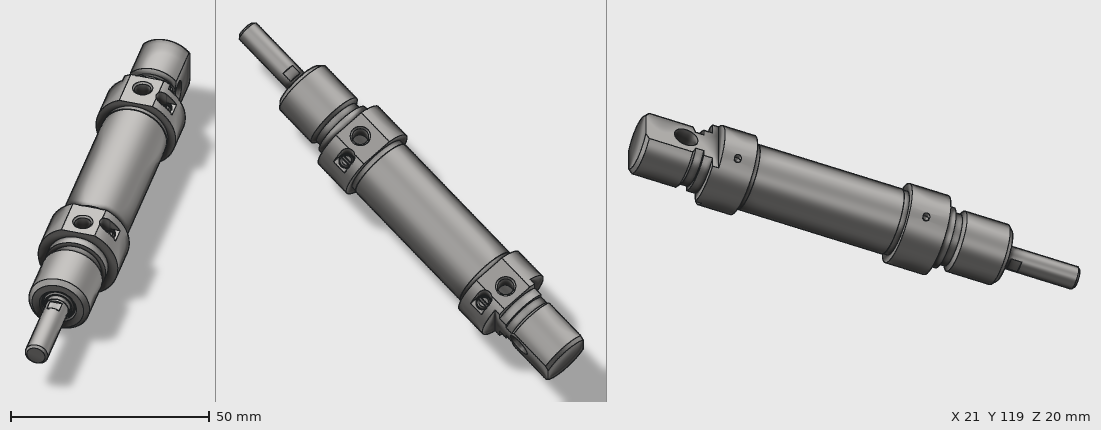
import cadquery as cq
import math


overall_length = 119.0
nose_front_y = 19.9
barrel_front_y = 48.5
barrel_rear_y = 90.4

cap_diameter = 21.0
cap_flat_height = 9.5
cap_block_length = 10.5

spigot_diameter = 16.0
relief_diameter = 13.7
relief_length = 2.1
relief_flank = 0.8
spigot_shoulder = 2.4
nose_chamfer = 1.2

lug_width = 12.0
lug_flat_front_y = 99.2
lug_chamfer = 1.0
pin_hole_diameter = 6.3
pin_hole_y = 108.0

port_diameter = 4.2
port_chamfer = 0.5
port_core_diameter = 8.3
front_port_y = 42.5
rear_port_y = 96.6

screw_x = 6.1
front_screw_y = 44.0
rear_screw_y = 95.1
screw_diameter = 3.5
screw_top_diameter = 2.5
screw_length = 3.6
screw_slot_width = 0.7
screw_slot_depth = 0.7
pocket_floor_z = 5.7
pocket_width = 4.0
pocket_sink_depth = 0.6

dimple_diameter = 1.8
dimple_z = -5.8
dimple_depth = 0.6

rod_diameter = 6.2
rod_end_diameter = 6.0
rod_end_length = 19.0
rod_chamfer = 0.6
rod_flats_width = 5.0
rod_flats_start_y = 15.5
rod_flats_length = 2.9
seat_mouth_diameter = 9.8
seat_diameter = 8.8
seat_depth = 1.2
wiper_diameter = 8.0
wiper_tip_diameter = 7.1
wiper_bore_diameter = 6.5
wiper_setback = 0.4

barrel_diameter = 17.3
barrel_neck_diameter = 16.9
barrel_neck_length = 1.4

cap_radius = cap_diameter / 2
spigot_radius = spigot_diameter / 2
relief_radius = relief_diameter / 2
front_block_y = barrel_front_y - cap_block_length
rear_block_y = barrel_rear_y + cap_block_length


def turned(profile):
    """Solid of revolution about the Y axis from (radius, y) points."""
    return cq.Workplane("XY").polyline(profile).close().revolve(360, (0, 0, 0), (0, 1, 0))


def cylinder_y(diameter, start_y, end_y):
    start_plane = cq.Plane((0, start_y, 0), (1, 0, 0), (0, 1, 0))
    return cq.Workplane(start_plane).circle(diameter / 2).extrude(end_y - start_y)


def box_between(low, high):
    size = [b - a for a, b in zip(low, high)]
    return cq.Workplane("XY").box(*size, centered=False).translate(low)


def cap_spigot(block_y, end_y, end_chamfer):
    """Turned spigot with a relief groove, from the cap block at block_y out to end_y."""
    outward = math.copysign(1, end_y - block_y)
    relief_start_y = block_y + outward * spigot_shoulder
    relief_end_y = relief_start_y + outward * relief_length
    return turned([
        (0, block_y),
        (spigot_radius, block_y),
        (spigot_radius, relief_start_y),
        (relief_radius, relief_start_y),
        (relief_radius, relief_end_y),
        (spigot_radius, relief_end_y + outward * relief_flank),
        (spigot_radius, end_y - outward * end_chamfer),
        (spigot_radius - end_chamfer, end_y),
        (0, end_y),
    ])


def cap_block(start_y, end_y):
    """Round cap block with a flat port face on top."""
    block = cylinder_y(cap_diameter, start_y, end_y)
    above_flat = box_between((-cap_radius, start_y, cap_flat_height), (cap_radius, end_y, cap_radius))
    return block.cut(above_flat)


def port_cutter(y):
    """Port with a chamfered mouth, ending on the round core around the axis."""
    radius = port_diameter / 2
    bore = cq.Workplane("XY").center(0, y).circle(radius).extrude(cap_flat_height)
    mouth = cq.Solid.makeCone(
        radius, radius + port_chamfer, port_chamfer, pnt=cq.Vector(0, y, cap_flat_height - port_chamfer)
    )
    core = cylinder_y(port_core_diameter, y - port_diameter, y + port_diameter)
    return bore.union(cq.Workplane(mouth)).cut(core)


def screw_pocket_cutter(y):
    """Round-ended pocket open towards +X, with the counterbored blind screw hole in its floor."""
    half_width = pocket_width / 2
    floor = cq.Workplane("XY").workplane(offset=pocket_floor_z)
    round_end = floor.center(screw_x, y).circle(half_width).extrude(cap_radius - pocket_floor_z)
    open_side = box_between(
        (screw_x, y - half_width, pocket_floor_z), (cap_radius, y + half_width, cap_radius)
    )
    sink = floor.center(screw_x, y).circle(half_width).extrude(-pocket_sink_depth)
    hole = floor.center(screw_x, y).circle(screw_diameter / 2).extrude(-screw_length)
    return round_end.union(open_side).union(sink).union(hole)


def dimple_cutter(y):
    """Blind dimple with a conical tip, drilled along +X into the -X side."""
    radius = dimple_diameter / 2
    surface_x = -math.sqrt(cap_radius**2 - dimple_z**2)
    tip_x = surface_x + dimple_depth
    along_x = cq.Vector(1, 0, 0)
    drill = cq.Solid.makeCylinder(
        radius, tip_x + cap_radius, pnt=cq.Vector(-cap_radius, y, dimple_z), dir=along_x
    )
    tip = cq.Solid.makeCone(radius, 0, radius, pnt=cq.Vector(tip_x, y, dimple_z), dir=along_x)
    return cq.Workplane(drill).union(cq.Workplane(tip))


def cut_cap_details(cap, port_y, screw_y):
    return cap.cut(port_cutter(port_y)).cut(screw_pocket_cutter(screw_y)).cut(dimple_cutter(screw_y))


def make_bearing_cap():
    cap = cap_block(front_block_y, barrel_front_y)
    cap = cap.union(cap_spigot(front_block_y, nose_front_y, nose_chamfer))
    cap = cut_cap_details(cap, front_port_y, front_screw_y)

    seat_floor_y = nose_front_y + seat_depth
    mouth_chamfer = (seat_mouth_diameter - seat_diameter) / 2
    seat = turned([
        (0, nose_front_y),
        (seat_mouth_diameter / 2, nose_front_y),
        (seat_diameter / 2, nose_front_y + mouth_chamfer),
        (seat_diameter / 2, seat_floor_y),
        (0, seat_floor_y),
    ])
    wiper_tip_y = nose_front_y + wiper_setback
    wiper_bevel = (wiper_diameter - wiper_tip_diameter) / 2
    wiper = turned([
        (wiper_bore_diameter / 2, wiper_tip_y),
        (wiper_tip_diameter / 2, wiper_tip_y),
        (wiper_diameter / 2, wiper_tip_y + wiper_bevel),
        (wiper_diameter / 2, seat_floor_y),
        (wiper_bore_diameter / 2, seat_floor_y),
    ])
    rod_bore = cylinder_y(rod_diameter, nose_front_y, barrel_front_y)
    return cap.cut(seat).union(wiper).cut(rod_bore)


def make_end_cap():
    cap = cap_block(barrel_rear_y, rear_block_y)
    cap = cap.union(cap_spigot(rear_block_y, overall_length, lug_chamfer))
    for side in (-1, 1):
        inner_x, outer_x = sorted((side * lug_width / 2, side * cap_radius))
        cap = cap.cut(box_between(
            (inner_x, lug_flat_front_y, -cap_radius), (outer_x, overall_length, cap_radius)
        ))
    pin_hole = (
        cq.Workplane("YZ").center(pin_hole_y, 0).circle(pin_hole_diameter / 2).extrude(lug_width, both=True)
    )
    return cut_cap_details(cap.cut(pin_hole), rear_port_y, rear_screw_y)


def make_barrel():
    """Barrel with a slightly reduced neck at each end."""
    barrel = cylinder_y(barrel_neck_diameter, barrel_front_y, barrel_rear_y)
    middle = cylinder_y(
        barrel_diameter, barrel_front_y + barrel_neck_length, barrel_rear_y - barrel_neck_length
    )
    return barrel.union(middle)


def make_rod():
    """Rod with a chamfered tip and two wrench flats."""
    rod_end = cylinder_y(rod_end_diameter, 0, rod_end_length).faces("<Y").chamfer(rod_chamfer)
    rod = rod_end.union(cylinder_y(rod_diameter, rod_end_length, barrel_front_y))
    rod_radius = rod_end_diameter / 2
    for side in (-1, 1):
        low_z, high_z = sorted((side * rod_flats_width / 2, side * rod_radius))
        rod = rod.cut(box_between(
            (-rod_radius, rod_flats_start_y, low_z),
            (rod_radius, rod_flats_start_y + rod_flats_length, high_z),
        ))
    return rod


def make_cushion_screw(y):
    """Slotted screw whose bevelled top is level with the pocket floor."""
    bevel = (screw_diameter - screw_top_diameter) / 2
    base = cq.Workplane("XY").workplane(offset=pocket_floor_z - screw_length).center(screw_x, y)
    screw = base.circle(screw_diameter / 2).extrude(screw_length).faces(">Z").chamfer(bevel)
    slot_z = pocket_floor_z - screw_slot_depth
    slot = (
        cq.Workplane("XY").workplane(offset=slot_z).center(screw_x, y)
        .rect(screw_slot_width, screw_diameter).extrude(screw_slot_depth)
    )
    return screw.cut(slot)


bearing_cap = make_bearing_cap()
end_cap = make_end_cap()
barrel = make_barrel()
rod = make_rod()
cushion_screws = [make_cushion_screw(y).val() for y in (front_screw_y, rear_screw_y)]

result = cq.Compound.makeCompound(
    [bearing_cap.val(), end_cap.val(), barrel.val(), rod.val(), *cushion_screws]
)